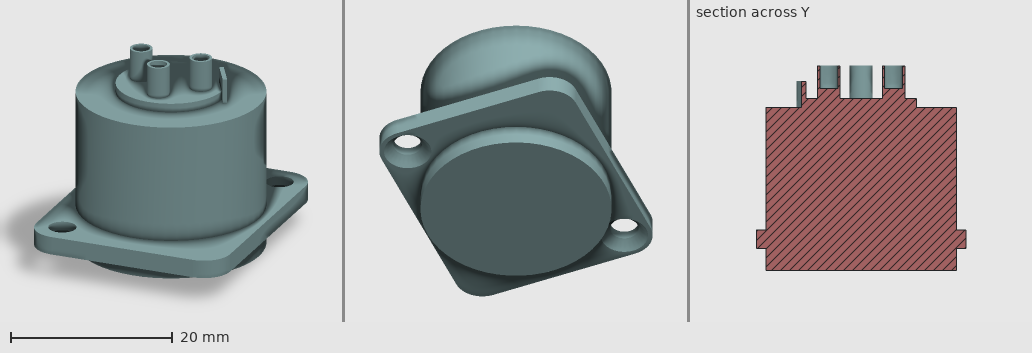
import cadquery as cq

plate_width = 26.0
plate_length = 31.0
corner_radius = 3.5
plate_bottom = 2.7
plate_thickness = 2.32
screw_hole_diameter = 3.5
countersink_depth = 1.18

body_diameter = 23.62
body_top = 20.15
disc_diameter = 13.7
disc_top = 21.3

cup_diameter = 2.82
cup_bore_diameter = 2.17
cup_bore_depth = 2.8
cup_top = 25.3
cup_circle_radius = 4.0

tab_length = 4.03
tab_thickness = 0.55
tab_top = 23.4
tab_center_x = 6.73
tab_center_y = 0.65
tab_angle = -61.0


def cylinder(diameter, bottom, top, x=0, y=0):
    """Vertical cylinder between two heights."""
    base = cq.Workplane("XY", origin=(x, y, bottom))
    return base.circle(diameter / 2).extrude(top - bottom)


def make_plate():
    """Rounded plate with two screw holes, countersunk from below, at opposite corners."""
    hole_x = plate_width / 2 - corner_radius
    hole_y = plate_length / 2 - corner_radius
    plate = (
        cq.Workplane("XY", origin=(0, 0, plate_bottom))
        .rect(plate_width, plate_length)
        .extrude(plate_thickness)
        .edges("|Z")
        .fillet(corner_radius)
        .faces(">Z")
        .workplane(origin=(0, 0, 0))
        .pushPoints([(hole_x, hole_y), (-hole_x, -hole_y)])
        .hole(screw_hole_diameter)
    )
    hole_radius = screw_hole_diameter / 2
    flare_radius = hole_radius + countersink_depth
    for side in (1, -1):
        rim_center = cq.Vector(side * hole_x, side * hole_y, plate_bottom)
        cone = cq.Solid.makeCone(flare_radius, hole_radius, countersink_depth, rim_center)
        plate = plate.cut(cq.Workplane(cone))
    return plate


def make_tab():
    """Thin upright blade rising from the body top."""
    return (
        cq.Workplane("XY", origin=(tab_center_x, tab_center_y, body_top))
        .transformed(rotate=(0, 0, tab_angle))
        .rect(tab_length, tab_thickness)
        .extrude(tab_top - body_top)
    )


result = make_plate()
result = result.union(cylinder(body_diameter, 0, body_top))
result = result.union(cylinder(disc_diameter, body_top, disc_top))
result = result.union(make_tab())

cup_positions = [(-cup_circle_radius, 0), (0, -cup_circle_radius), (cup_circle_radius, 0)]
for x, y in cup_positions:
    result = result.union(cylinder(cup_diameter, disc_top, cup_top, x, y))
    result = result.cut(cylinder(cup_bore_diameter, cup_top - cup_bore_depth, cup_top, x, y))